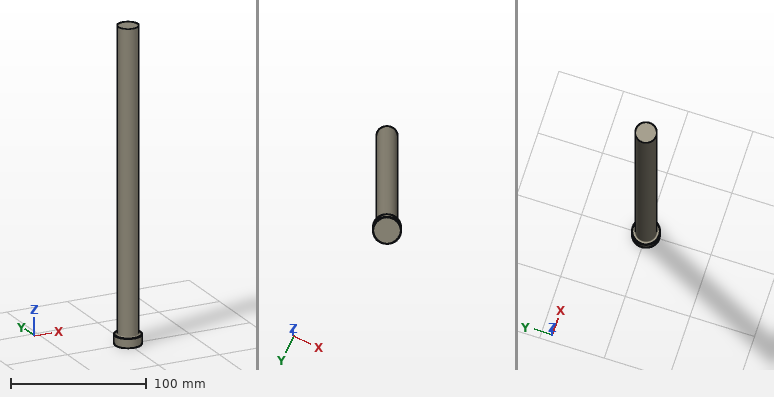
import cadquery as cq

total_length = 250.0
shank_diameter = 16.0
head_diameter = 21.0
head_height = 8.0
head_chamfer = 0.5
neck_fillet = 0.5

shank_radius = shank_diameter / 2
head_radius = head_diameter / 2

half_section = (
    cq.Workplane("XZ")
    .lineTo(-(head_radius - head_chamfer), 0)
    .lineTo(-head_radius, head_chamfer)
    .lineTo(-head_radius, head_height - head_chamfer)
    .lineTo(-(head_radius - head_chamfer), head_height)
    .lineTo(-(shank_radius + neck_fillet), head_height)
    .radiusArc((-shank_radius, head_height + neck_fillet), -neck_fillet)
    .lineTo(-shank_radius, total_length)
    .lineTo(0, total_length)
    .close()
)
result = half_section.revolve(360, (0, 0, 0), (0, 1, 0))